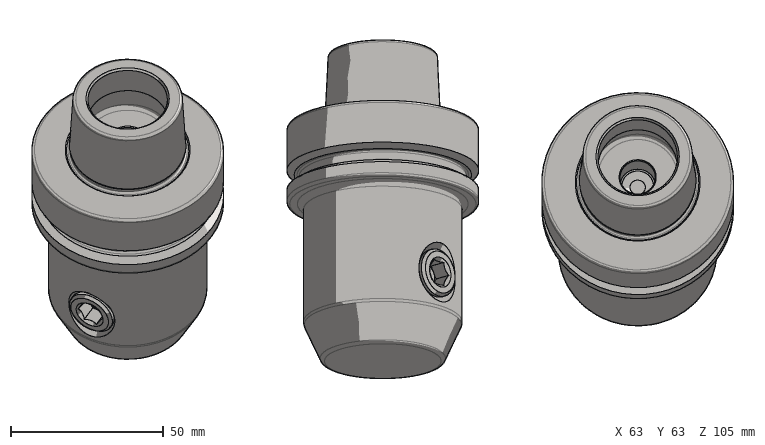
import cadquery as cq
import math

total_height = 105.0
flange_bottom_z = 54.0
flange_top_z = 80.0

body_radius = 26.0
nose_edge_radius = 20.2
nose_height = 12.9
nose_top_round = 2.3
nose_bottom_round = 1.6
body_fillet = 2.0

flange_radius = 31.5
flange_edge_round = 0.9
groove_radius = 27.5
groove_center_z = 62.1
groove_width = 3.8
groove_flare_width = 6.7
groove_flare_depth = 2.4
groove_corner_round = 0.6

shank_base_radius = 19.1
shank_base_z = 81.9
shank_slope = 0.05
shank_edge_round = 0.9
neck_radius = 18.8
neck_fillet = 0.7
neck_step = 0.6
recess_outer_radius = 20.5
recess_depth = 0.4

bore_radius = 13.0
bore_chamfer = 0.6
bore_lip_depth = 10.4
undercut_radius = 14.5
undercut_slope_height = 0.8
bore_depth = 20.1
bore_floor_round = 1.4

coolant_radius = 5.8
coolant_chamfer = 0.3
coolant_depth = 8.4
drill_radius = 5.1
drill_tip_radius = 2.5
drill_slope = 30.0

screw_z = 25.0
screw_radius = 8.0
screw_chamfer = 0.9
port_radius = 10.1
screw_length = 3.2
hex_across_flats = 7.9
hex_depth = 6.3
hex_chamfer_radius = 5.0
hex_drill_radius = 3.2

cut_clearance = 1.0


def revolve_outline(points):
    """Revolve a closed outline of (radius, Z) points around the Z axis."""
    return cq.Workplane("XZ").polyline(points).close().revolve(360, (0, 0, 0), (0, 1, 0))


def round_rim(solid, rim_radius, rim_z, round_radius):
    """Round the circular edge of the given radius and height."""
    tolerance = 0.01

    def is_rim(edge):
        if edge.geomType() != "CIRCLE":
            return False
        return abs(edge.radius() - rim_radius) < tolerance and abs(edge.Center().z - rim_z) < tolerance

    return solid.edges().filter(is_rim).fillet(round_radius)


def make_outside():
    """Nose, body, flange and taper shank as one solid of revolution."""
    shank_top_radius = shank_base_radius - shank_slope * (total_height - shank_base_z)
    recess_floor_z = flange_top_z - recess_depth
    outside = revolve_outline([
        (0, 0),
        (nose_edge_radius, 0),
        (body_radius, nose_height),
        (body_radius, flange_bottom_z),
        (flange_radius, flange_bottom_z),
        (flange_radius, flange_top_z),
        (recess_outer_radius, flange_top_z),
        (recess_outer_radius - recess_depth, recess_floor_z),
        (neck_radius, recess_floor_z),
        (neck_radius, shank_base_z - neck_step),
        (shank_base_radius, shank_base_z),
        (shank_top_radius, total_height),
        (0, total_height),
    ])
    outside = round_rim(outside, neck_radius, recess_floor_z, neck_fillet)
    outside = round_rim(outside, nose_edge_radius, 0, nose_bottom_round)
    outside = round_rim(outside, body_radius, nose_height, nose_top_round)
    outside = round_rim(outside, body_radius, flange_bottom_z, body_fillet)
    outside = round_rim(outside, flange_radius, flange_bottom_z, flange_edge_round)
    outside = round_rim(outside, flange_radius, flange_top_z, flange_edge_round)
    return round_rim(outside, shank_top_radius, total_height, shank_edge_round)


def make_groove():
    """Gripper groove: straight slot at the bottom, flared towards the flange rim."""
    half_width = groove_width / 2
    half_flare = groove_flare_width / 2
    low_z = groove_center_z - half_width
    high_z = groove_center_z + half_width
    flare_start_radius = flange_radius - groove_flare_depth
    outer_radius = flange_radius + cut_clearance
    groove = revolve_outline([
        (groove_radius, low_z),
        (flare_start_radius, low_z),
        (flange_radius, groove_center_z - half_flare),
        (outer_radius, groove_center_z - half_flare),
        (outer_radius, groove_center_z + half_flare),
        (flange_radius, groove_center_z + half_flare),
        (flare_start_radius, high_z),
        (groove_radius, high_z),
    ])
    groove = round_rim(groove, groove_radius, low_z, groove_corner_round)
    return round_rim(groove, groove_radius, high_z, groove_corner_round)


def make_bore():
    """Shank bore with its undercut, plus the stepped coolant hole in the bore floor."""
    lip_z = total_height - bore_lip_depth
    floor_z = total_height - bore_depth
    coolant_floor_z = floor_z - coolant_depth
    tip_height = (drill_radius - drill_tip_radius) * math.tan(math.radians(drill_slope))
    tip_z = coolant_floor_z - tip_height
    bore = revolve_outline([
        (0, total_height),
        (bore_radius + bore_chamfer, total_height),
        (bore_radius, total_height - bore_chamfer),
        (bore_radius, lip_z),
        (undercut_radius, lip_z - undercut_slope_height),
        (undercut_radius, floor_z),
        (coolant_radius + coolant_chamfer, floor_z),
        (coolant_radius, floor_z - coolant_chamfer),
        (coolant_radius, coolant_floor_z),
        (drill_radius, coolant_floor_z),
        (drill_tip_radius, tip_z),
        (0, tip_z),
    ])
    return round_rim(bore, undercut_radius, floor_z, bore_floor_round)


def side_cone(radius_start, radius_end, height, depth):
    """Frustum on the clamping screw axis, starting `depth` inside the body and running inwards."""
    start = cq.Vector(0, depth - body_radius, screw_z)
    return cq.Workplane(obj=cq.Solid.makeCone(radius_start, radius_end, height, start, cq.Vector(0, 1, 0)))


def make_port():
    """45 degree countersink around the clamping screw."""
    mouth_radius = port_radius + cut_clearance
    return side_cone(mouth_radius, screw_radius, mouth_radius - screw_radius, -cut_clearance)


def screw_face():
    """Sketch plane on the outer face of the clamping screw, flush with the body."""
    return cq.Workplane("XZ", origin=(0, -body_radius, screw_z))


def make_screw():
    """Chamfered head end of the clamping screw, without its socket."""
    return screw_face().circle(screw_radius).extrude(-screw_length).faces("<Y").chamfer(screw_chamfer)


def make_socket():
    """Hexagon socket with a lead-in chamfer and a conical end."""
    inner_radius = hex_across_flats / 2
    corner_radius = inner_radius / math.cos(math.pi / 6)
    hexagon = screw_face().polygon(6, 2 * corner_radius).extrude(-hex_depth)
    lead_in = side_cone(hex_chamfer_radius, 0, hex_chamfer_radius, 0)
    end = side_cone(inner_radius, hex_drill_radius, inner_radius - hex_drill_radius, hex_depth)
    return hexagon.union(lead_in).union(end)


result = make_outside().cut(make_groove()).cut(make_bore())
result = result.cut(make_port()).union(make_screw()).cut(make_socket())